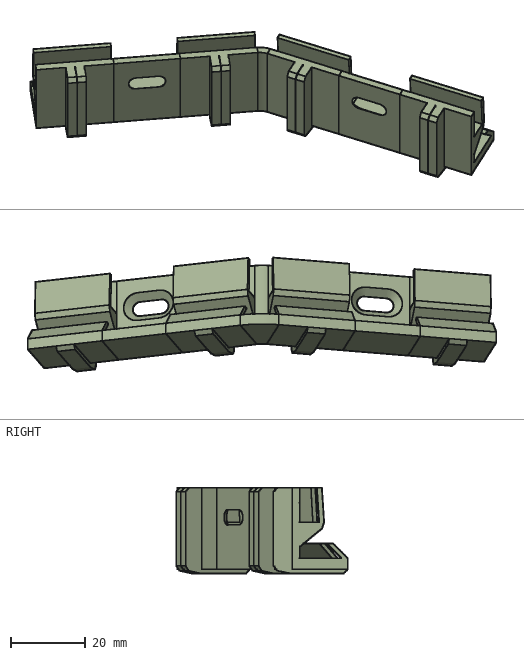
import cadquery as cq
turn_angle = 30.25
bend_radius = 4.95

depth = 15.0
height = 22.0
wall = 2.0
floor = 3.0

clip_length = 21.0
plate_length = 18.0
leg_length = 2 * clip_length + plate_length

lip_height = 7.0
lip_width = 1.75

shelf_height = 12.7
hook_top_gap = 4.65
hook_foot_gap = 5.25
hook_thickness = 1.4
hook_heel_height = 11.0
hook_heel_inset = 0.55
bracket_foot_height = 6.0

rib_width = 5.0
rib_reach = 5.0
slit_width = 0.1
keel_drop = 1.14
rib_chamfer = 1.1
tip_bevel_height = 1.0
nose_reach = 4.05
nose_drop = 0.35
keel_chamfer = keel_drop

slot_length = 10.0
slot_width = 4.0
slot_height = 14.0
sink_growth = 2.0

wall_front = bend_radius
wall_back = wall_front + wall
back_edge = wall_front + depth


def channel_section():
    """Plain L of floor and wall as (y, z) points."""
    return [
        (wall_front, 0),
        (back_edge, 0),
        (back_edge, floor),
        (wall_back, floor),
        (wall_back, height),
        (wall_front, height),
    ]


def clip_section():
    """Channel with the back lip and the hook as (y, z) points."""
    lip_tip = back_edge - (lip_height - floor)
    hook_top = wall_back + hook_top_gap
    hook_foot = wall_back + hook_foot_gap
    return [
        (wall_front, 0),
        (back_edge, 0),
        (back_edge, floor),
        (lip_tip, lip_height),
        (lip_tip - lip_width, lip_height),
        (back_edge - lip_width, floor),
        (wall_back, floor),
        (wall_back, bracket_foot_height),
        (hook_foot + hook_thickness - hook_heel_inset, hook_heel_height),
        (hook_foot + hook_thickness, shelf_height),
        (hook_top + hook_thickness, height),
        (hook_top, height),
        (hook_foot, shelf_height),
        (wall_back, shelf_height),
        (wall_back, height),
        (wall_front, height),
    ]


def rib_section():
    """Rib and keel side outline as (y, z) points."""
    tip = wall_front - rib_reach
    return [
        (wall_back, height),
        (tip + rib_chamfer, height),
        (tip, height - rib_chamfer),
        (tip, tip_bevel_height),
        (wall_front - nose_reach, -nose_drop),
        (wall_front, -keel_drop),
        (back_edge - keel_chamfer, -keel_drop),
        (back_edge, 0),
        (wall_back, 0),
    ]


def extrude_along_leg(section, length):
    """Extrude a (y, z) section along X, centred on x = 0."""
    return cq.Workplane("YZ").polyline(section).close().extrude(length / 2, both=True)


def make_slit_cutter():
    """Thin blade through the rib from the wall front outwards, above the floor underside."""
    blade = cq.Workplane("XY").box(slit_width, rib_reach, height, centered=(True, False, False))
    return blade.translate((0, wall_front - rib_reach, 0))


def make_clip():
    rib = extrude_along_leg(rib_section(), rib_width)
    channel = extrude_along_leg(clip_section(), clip_length)
    return channel.union(rib).cut(make_slit_cutter())


def make_slot_cutter():
    """Slot that opens out from the wall's front face to its back face."""
    return (
        cq.Workplane("XZ", origin=(0, wall_front, slot_height))
        .slot2D(slot_length, slot_width)
        .workplane(offset=-wall)
        .slot2D(slot_length + 2 * sink_growth, slot_width + 2 * sink_growth)
        .loft(ruled=True)
    )


def make_plate():
    return extrude_along_leg(channel_section(), plate_length).cut(make_slot_cutter())


def make_corner():
    return (
        cq.Workplane("YZ")
        .polyline(channel_section())
        .close()
        .revolve(turn_angle, (0, 0), (0, 1))
    )


clip = make_clip()
plate = make_plate()
corner = make_corner()
segments = [
    (clip, clip_length / 2),
    (plate, leg_length / 2),
    (clip, leg_length - clip_length / 2),
]
bodies = [corner.val()]
for segment, distance in segments:
    straight = segment.translate((distance, 0, 0))
    turned = segment.translate((-distance, 0, 0)).rotate((0, 0, 0), (0, 0, 1), turn_angle)
    bodies += [straight.val(), turned.val()]

result = cq.Compound.makeCompound(bodies)